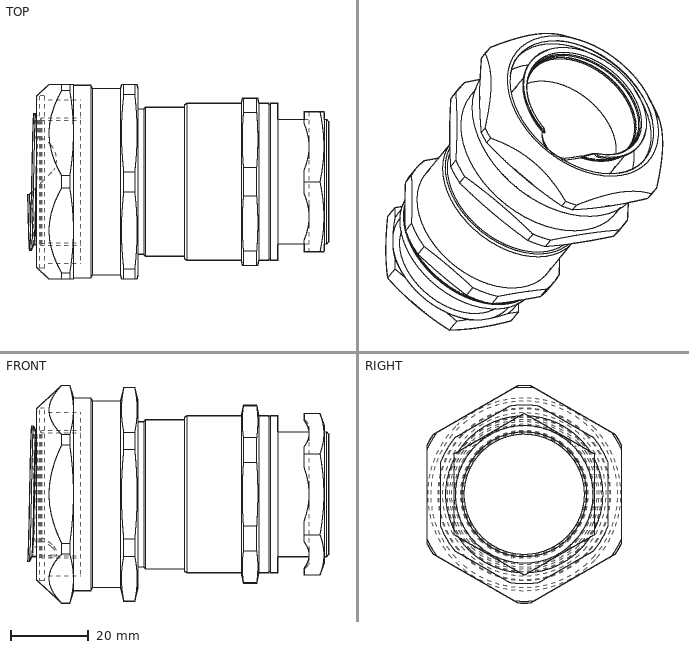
import cadquery as cq
import math


CAP_ACROSS_FLATS = 50.0
CAP_CORNER_RADIUS = 28.0
CAP_FACE_RADIUS = 22.0
CAP_BEVEL_END = 6.5
CAP_CORNER_END = 8.6
CAP_LENGTH = 9.6
CAP_BACK_RADIUS = 24.8

OPENING_RADIUS = 21.0
OPENING_ROUNDING = 0.5
UNDERCUT_START = 0.8
UNDERCUT_END = 2.1
UNDERCUT_RADIUS = 22.2
OPENING_DEPTH = 11.4

COLLAR_END = 14.4
BODY_RADIUS = 24.0
BODY_END = 22.0

LARGE_NUT_START = 21.6
LARGE_NUT_END = 26.15
LARGE_NUT_ACROSS_FLATS = 50.0
LARGE_NUT_CORNER_RADIUS = 27.5
LARGE_NUT_FACE_RADIUS = 23.9
LARGE_NUT_BEVEL = 0.85
SMALL_NUT_START = 52.65
SMALL_NUT_END = 57.15
SMALL_NUT_ACROSS_FLATS = 43.0
SMALL_NUT_CORNER_RADIUS = 23.0
SMALL_NUT_FACE_RADIUS = 20.3
SMALL_NUT_BEVEL = 0.55

NECK_RADIUS = 18.7
NECK_END = 27.6
BARREL_RADIUS = 19.2
BARREL_EDGE = 0.4
BARREL_END = 38.0
SLEEVE_RADIUS = 20.2
SLEEVE_EDGE_LENGTH = 0.7
SLEEVE_EDGE_DEPTH = 0.4
SLEEVE_END = 62.05
GROOVE_START = 59.75
GROOVE_WIDTH = 0.35
GROOVE_DEPTH = 0.3

SPIGOT_RADIUS = 16.05
SPIGOT_END = 75.14
SPIGOT_CHAMFER = 0.6
REAR_HEX_START = 68.8
REAR_HEX_END = 73.97
REAR_HEX_ACROSS_FLATS = 36.0
REAR_HEX_BEVEL = 1.1
REAR_HEX_FACE_RADIUS = 17.7
REAR_RECESS_RADIUS = 19.25
REAR_RECESS_FLOOR_RADIUS = 18.05

TUBE_BORE_RADIUS = 15.8
TUBE_WALL = 0.6
TUBE_FRONT = 1.0
TUBE_TAPER = 0.4

LIP_RADIUS = 17.6
LIP_FRONT = -2.33
LIP_EDGE_WIDTH = 0.5
LIP_BACK_LENGTH = 1.1
LIP_FLARE_RADIUS = 16.4
LIP_FLARE_LENGTH = 0.5
LIP_THROAT_LENGTH = 1.3
LIP_ROOT_INNER_RADIUS = 16.0
LIP_ROOT_OUTER_RADIUS = 16.25
LIP_ROOT_LENGTH = 4.5
LIP_PITCH = 2.2
LIP_START_ANGLE = 274.0
LIP_SWEEP_ANGLE = 325.0

NOTCH_START_Y = -3.25
NOTCH_START_X = -1.8
NOTCH_RAMP_Y = 3.0
NOTCH_MIDDLE_Y = 7.0
NOTCH_END_Y = 11.2
NOTCH_RAMP_X = 4.5
NOTCH_DEEPEST_X = 5.0
NOTCH_END_X = 1.2


def turned(points):
    """Revolve an (x, radius) outline about the X axis."""
    return cq.Workplane("XY").polyline(points).close().revolve(360, (0, 0, 0), (1, 0, 0))


def hex_prism(start, end, across_flats):
    """Hexagonal prism along X with corners at +Z and -Z."""
    across_corners = across_flats / math.cos(math.pi / 6)
    prism = cq.Workplane("YZ", origin=(start, 0, 0)).polygon(6, across_corners).extrude(end - start)
    return prism.rotate((0, 0, 0), (1, 0, 0), 90)


def cap_nut():
    blank = turned([
        (0, 0),
        (0, CAP_FACE_RADIUS),
        (CAP_BEVEL_END, CAP_CORNER_RADIUS),
        (CAP_CORNER_END, CAP_CORNER_RADIUS),
        (CAP_LENGTH, CAP_BACK_RADIUS),
        (CAP_LENGTH, 0),
    ])
    return blank.intersect(hex_prism(0, CAP_LENGTH, CAP_ACROSS_FLATS))


def locknut(start, end, across_flats, corner_radius, face_radius, bevel):
    """Hexagonal nut with its corners turned down on both faces."""
    blank = turned([
        (start, 0),
        (start, face_radius),
        (start + bevel, corner_radius),
        (end - bevel, corner_radius),
        (end, face_radius),
        (end, 0),
    ])
    return blank.intersect(hex_prism(start, end, across_flats))


def core():
    """Turned body running the full length behind the cap nut."""
    collar_edge = CAP_BACK_RADIUS - BODY_RADIUS
    groove_end = GROOVE_START + GROOVE_WIDTH
    groove_radius = SLEEVE_RADIUS - GROOVE_DEPTH
    return turned([
        (0, 0),
        (0, CAP_FACE_RADIUS),
        (CAP_LENGTH, CAP_BACK_RADIUS),
        (COLLAR_END - collar_edge / 2, CAP_BACK_RADIUS),
        (COLLAR_END, BODY_RADIUS),
        (BODY_END, BODY_RADIUS),
        (BODY_END, NECK_RADIUS),
        (NECK_END, NECK_RADIUS),
        (NECK_END + BARREL_EDGE, BARREL_RADIUS),
        (BARREL_END, BARREL_RADIUS),
        (BARREL_END, SLEEVE_RADIUS - SLEEVE_EDGE_DEPTH),
        (BARREL_END + SLEEVE_EDGE_LENGTH, SLEEVE_RADIUS),
        (GROOVE_START, SLEEVE_RADIUS),
        (GROOVE_START, groove_radius),
        (groove_end, groove_radius),
        (groove_end, SLEEVE_RADIUS),
        (SLEEVE_END, SLEEVE_RADIUS),
        (SLEEVE_END, SPIGOT_RADIUS),
        (SPIGOT_END - SPIGOT_CHAMFER, SPIGOT_RADIUS),
        (SPIGOT_END, SPIGOT_RADIUS - SPIGOT_CHAMFER),
        (SPIGOT_END, 0),
    ])


def rear_hex():
    """Hexagon with a bevelled back face and a conical recess in its front face."""
    corner_radius = REAR_HEX_ACROSS_FLATS / 2 / math.cos(math.pi / 6)
    recess_depth = REAR_RECESS_RADIUS - REAR_RECESS_FLOOR_RADIUS
    blank = turned([
        (REAR_HEX_START + recess_depth, 0),
        (REAR_HEX_START + recess_depth, REAR_RECESS_FLOOR_RADIUS),
        (REAR_HEX_START, REAR_RECESS_RADIUS),
        (REAR_HEX_START, corner_radius),
        (REAR_HEX_END - REAR_HEX_BEVEL, corner_radius),
        (REAR_HEX_END, REAR_HEX_FACE_RADIUS),
        (REAR_HEX_END, 0),
    ])
    return blank.intersect(hex_prism(REAR_HEX_START, REAR_HEX_END, REAR_HEX_ACROSS_FLATS))


def opening():
    """Cavity with a rounded mouth and an undercut groove just behind the mouth."""
    mouth_radius = OPENING_RADIUS + OPENING_ROUNDING
    outline = (
        cq.Workplane("XY")
        .moveTo(0, 0)
        .lineTo(0, mouth_radius)
        .radiusArc((OPENING_ROUNDING, OPENING_RADIUS), -OPENING_ROUNDING)
        .lineTo(UNDERCUT_START, OPENING_RADIUS)
        .lineTo(UNDERCUT_START, UNDERCUT_RADIUS)
        .lineTo(UNDERCUT_END, UNDERCUT_RADIUS)
        .lineTo(UNDERCUT_END, OPENING_RADIUS)
        .lineTo(OPENING_DEPTH, OPENING_RADIUS)
        .lineTo(OPENING_DEPTH, 0)
        .close()
    )
    return outline.revolve(360, (0, 0, 0), (1, 0, 0))


def notch():
    """Cutter below the axis with a ramp on one side and an arc on the other."""
    outline = (
        cq.Workplane("XY")
        .moveTo(LIP_FRONT, NOTCH_START_Y)
        .lineTo(NOTCH_START_X, NOTCH_START_Y)
        .lineTo(NOTCH_RAMP_X, NOTCH_RAMP_Y)
        .threePointArc((NOTCH_DEEPEST_X, NOTCH_MIDDLE_Y), (NOTCH_END_X, NOTCH_END_Y))
        .lineTo(LIP_FRONT, NOTCH_END_Y)
        .close()
    )
    return outline.extrude(-OPENING_RADIUS)


def tube():
    """Tube wall with its front edge tapered inside and out to a ridge that the lip's root covers."""
    outer_radius = TUBE_BORE_RADIUS + TUBE_WALL
    return turned([
        (TUBE_FRONT, TUBE_BORE_RADIUS + TUBE_WALL / 2),
        (TUBE_FRONT + TUBE_TAPER, outer_radius),
        (OPENING_DEPTH, outer_radius),
        (OPENING_DEPTH, TUBE_BORE_RADIUS),
        (TUBE_FRONT + TUBE_TAPER, TUBE_BORE_RADIUS),
    ])


def spiral_lip():
    """Flared strip swept along a left-hand helix, built along Z and then laid along X."""
    rise = LIP_PITCH * LIP_SWEEP_ANGLE / 360
    path = cq.Wire.makeHelix(LIP_PITCH, rise, LIP_RADIUS, lefthand=True)
    section = (
        cq.Workplane("XZ")
        .moveTo(LIP_RADIUS, 0)
        .lineTo(LIP_RADIUS, LIP_EDGE_WIDTH)
        .lineTo(LIP_ROOT_OUTER_RADIUS, LIP_BACK_LENGTH)
        .lineTo(LIP_ROOT_OUTER_RADIUS, LIP_ROOT_LENGTH)
        .lineTo(LIP_ROOT_INNER_RADIUS, LIP_ROOT_LENGTH)
        .lineTo(LIP_ROOT_INNER_RADIUS, LIP_THROAT_LENGTH)
        .lineTo(LIP_FLARE_RADIUS, LIP_FLARE_LENGTH)
        .close()
    )
    strip = section.sweep(cq.Workplane("XY").newObject([path]), isFrenet=True)
    along_x = strip.rotate((0, 0, 0), (1, 1, 1), 120)
    turned_strip = along_x.rotate((0, 0, 0), (1, 0, 0), LIP_START_ANGLE)
    return turned_strip.translate((LIP_FRONT, 0, 0))


large_locknut = locknut(
    LARGE_NUT_START,
    LARGE_NUT_END,
    LARGE_NUT_ACROSS_FLATS,
    LARGE_NUT_CORNER_RADIUS,
    LARGE_NUT_FACE_RADIUS,
    LARGE_NUT_BEVEL,
)
small_locknut = locknut(
    SMALL_NUT_START,
    SMALL_NUT_END,
    SMALL_NUT_ACROSS_FLATS,
    SMALL_NUT_CORNER_RADIUS,
    SMALL_NUT_FACE_RADIUS,
    SMALL_NUT_BEVEL,
)

shell = core().union(cap_nut()).union(large_locknut).union(small_locknut).union(rear_hex())
flared_tube = tube().union(spiral_lip()).cut(notch())
result = shell.cut(opening()).union(flared_tube)